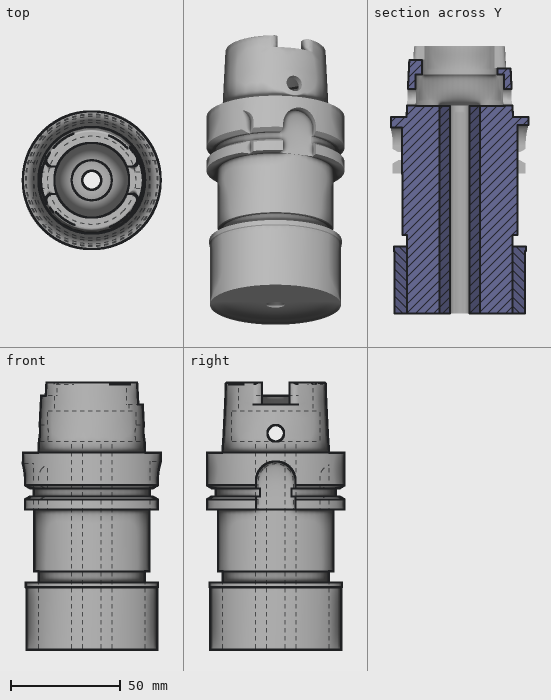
import cadquery as cq
total_height = 122.0
shank_length = 32.0
flange_length = 26.0
flange_top = total_height - shank_length
flange_bottom = flange_top - flange_length
body_bottom = 35.9
nut_top = 30.9

shank_base_radius = 24.4
shank_taper = 1 / 20
shank_rim_fillet = 1.0
shank_top_radius = shank_base_radius - shank_length * shank_taper
mouth_radius = 17.1
mouth_depth = 12.9
chamber_radius = 20.1
chamber_floor = 95.0
cross_hole_diameter = 7.5
cross_hole_height = 98.8

drive_slot_width = 12.5
drive_slot_fillet = 2.7
shallow_slot_depth = 6.0
deep_slot_depth = 10.0

flange_radius = 31.5
groove_floor_radius = 27.5
groove_shoulder_radius = 29.0
groove_height = 71.9
groove_floor_width = 3.7
groove_mouth_width = 6.6

keyway_floor = 26.5
keyway_arc_height = 77.0
left_keyway_width = 16.0
right_keyway_width = 18.0
notch_corner = 20.1
notch_arc_radius = 6.1
notch_arc_height = 78.6

body_radius = 26.4
neck_radius = 24.3

nut_radius = 29.9
collar_radius = 30.3
collar_height = 2.1

collet_radius = 9.2
collet_bore_radius = 4.3


def revolve(points):
    """Turn an (radius, height) outline about the Z axis."""
    return cq.Workplane("XZ").polyline(points).close().revolve(360, (0, 0, 0), (0, 1, 0))


def cylinder(radius, bottom, top):
    return cq.Workplane("XY").workplane(offset=bottom).circle(radius).extrude(top - bottom)


def make_blank():
    """Turned outside of the holder: shank, flange, body and neck."""
    groove_top = groove_height + groove_floor_width / 2
    groove_bottom = groove_height - groove_floor_width / 2
    return revolve([
        (0, 0),
        (neck_radius, 0),
        (neck_radius, body_bottom),
        (body_radius, body_bottom),
        (body_radius, flange_bottom),
        (flange_radius, flange_bottom),
        (flange_radius, groove_height - groove_mouth_width / 2),
        (groove_shoulder_radius, groove_bottom),
        (groove_floor_radius, groove_bottom),
        (groove_floor_radius, groove_top),
        (groove_shoulder_radius, groove_top),
        (flange_radius, groove_height + groove_mouth_width / 2),
        (flange_radius, flange_top),
        (shank_base_radius, flange_top),
        (shank_top_radius, total_height),
        (0, total_height),
    ])


def make_bore():
    """Mouth, wider clamping chamber and collet seat, all on the axis."""
    mouth = cylinder(mouth_radius, chamber_floor, total_height)
    chamber = cylinder(chamber_radius, chamber_floor, total_height - mouth_depth)
    collet_seat = cylinder(collet_radius, 0, chamber_floor)
    return mouth.union(chamber).union(collet_seat)


def make_drive_slot(side, depth):
    """Slot through the shank wall; side is -1 or +1 along X."""
    return (
        cq.Workplane("XY")
        .box(flange_radius, drive_slot_width, depth)
        .translate((side * flange_radius / 2, 0, total_height - depth / 2))
    )


def slot_corner_edges(shank, side, depth):
    """Upright outer edges where one drive slot cuts the taper."""
    reach = 1.2
    half_width = drive_slot_width / 2
    corner_x = side * (shank_top_radius ** 2 - half_width ** 2) ** 0.5
    top = total_height
    edges = []
    for y in (-half_width, half_width):
        box = cq.selectors.BoxSelector(
            (corner_x - reach, y - reach, top - depth - reach),
            (corner_x + reach, y + reach, top + reach),
        )
        edges += shank.edges(box).edges("not #Z").vals()
    return edges


def make_keyway(side, width):
    """Round-topped keyway with a flat floor, open at the flange's lower face."""
    half_width = width / 2
    return (
        cq.Workplane("YZ")
        .workplane(offset=side * keyway_floor)
        .moveTo(-half_width, flange_bottom)
        .lineTo(-half_width, keyway_arc_height)
        .threePointArc((0, keyway_arc_height + half_width), (half_width, keyway_arc_height))
        .lineTo(half_width, flange_bottom)
        .close()
        .extrude(side * (flange_radius - keyway_floor))
    )


def make_index_notch():
    """Square-cornered notch on the -X +Y side with a round top."""
    arc_center = notch_corner + notch_arc_radius
    far_wall = notch_corner + 2 * notch_arc_radius
    return (
        cq.Workplane("YZ")
        .workplane(offset=-notch_corner)
        .moveTo(notch_corner, flange_bottom)
        .lineTo(notch_corner, notch_arc_height)
        .threePointArc((arc_center, notch_arc_height + notch_arc_radius), (far_wall, notch_arc_height))
        .lineTo(far_wall, flange_bottom)
        .close()
        .extrude(notch_corner - flange_radius)
    )


def make_cross_hole():
    return (
        cq.Workplane("YZ")
        .center(0, cross_hole_height)
        .circle(cross_hole_diameter / 2)
        .extrude(flange_radius, both=True)
    )


def make_holder():
    blank = make_blank()
    holder = blank.cut(make_bore())
    for side, depth in ((-1, shallow_slot_depth), (1, deep_slot_depth)):
        holder = holder.cut(make_drive_slot(side, depth))
        corners = slot_corner_edges(holder, side, depth)
        holder = holder.newObject(corners).fillet(drive_slot_fillet)
    holder = holder.intersect(blank.faces(">Z").edges().fillet(shank_rim_fillet))
    for side, width in ((-1, left_keyway_width), (1, right_keyway_width)):
        holder = holder.cut(make_keyway(side, width))
    return holder.cut(make_index_notch()).cut(make_cross_hole())


def make_nut():
    """Ring around the neck with a chamfered collar at its top."""
    collar_bottom = nut_top - collar_height
    chamfer_bottom = collar_bottom - (collar_radius - nut_radius)
    return revolve([
        (neck_radius, 0),
        (nut_radius, 0),
        (nut_radius, chamfer_bottom),
        (collar_radius, collar_bottom),
        (collar_radius, nut_top),
        (neck_radius, nut_top),
    ])


def make_collet():
    """Straight sleeve that fills the holder's collet seat."""
    sleeve = cylinder(collet_radius, 0, chamber_floor)
    return sleeve.cut(cylinder(collet_bore_radius, 0, chamber_floor))


holder = make_holder()
nut = make_nut()
collet = make_collet()

result = cq.Compound.makeCompound([holder.val(), nut.val(), collet.val()])